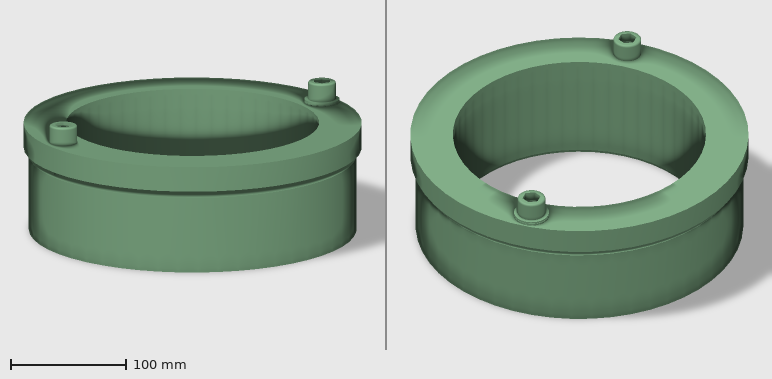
import cadquery as cq
import math

base_diameter = 285.0
base_height = 67.3
lip_thickness = 3.0
lip_bore_diameter = 222.9

flange_diameter = 294.0
flange_thickness = 22.0
flange_gap = 6.8
neck_diameter = 232.0
bore_diameter = 220.0

bolt_circle_radius = 130.0
shank_diameter = 16.0
shank_length = 60.0
head_diameter = 24.0
head_height = 16.0
head_edge_radius = 1.8
socket_width = 13.8
socket_depth = 8.0
socket_cone_depth = 4.0
clearance_hole_diameter = 17.5

washer_outer_diameter = 30.5
washer_inner_diameter = 17.0
washer_thickness = 3.5
washer_groove_level = 1.8
washer_groove_size = 0.3
washer_notch_count = 16
washer_notch_length = 3.2
washer_notch_width = 1.8
washer_notch_depth = 1.2

flange_bottom = base_height + flange_gap
flange_top = flange_bottom + flange_thickness
front_y = -bolt_circle_radius
rear_y = bolt_circle_radius
screw_points = [(0, front_y), (0, rear_y)]

screw_hole_depth = shank_length - flange_thickness - flange_gap


def disc(diameter, bottom, top):
    """Solid cylinder on the main axis between two levels."""
    return cq.Workplane("XY").workplane(offset=bottom).circle(diameter / 2).extrude(top - bottom)


def screw_holes(diameter, bottom, top):
    """Pair of cylinders on the bolt circle, used as cutters."""
    return (
        cq.Workplane("XY")
        .workplane(offset=bottom)
        .pushPoints(screw_points)
        .circle(diameter / 2)
        .extrude(top - bottom)
    )


def make_base_ring():
    ring = disc(base_diameter, 0, base_height)
    ring = ring.cut(disc(lip_bore_diameter, 0, base_height))
    ring = ring.cut(disc(neck_diameter, lip_thickness, base_height))
    return ring.cut(screw_holes(shank_diameter, base_height - screw_hole_depth, base_height))


def make_gland():
    flange = disc(flange_diameter, flange_bottom, flange_top)
    neck = disc(neck_diameter, lip_thickness, flange_bottom)
    gland = flange.union(neck)
    gland = gland.cut(disc(bore_diameter, lip_thickness, flange_top))
    return gland.cut(screw_holes(clearance_hole_diameter, flange_bottom, flange_top))


def make_washer():
    """Flat ring with a groove around its rim and radial notches under its outer edge."""
    outer_radius = washer_outer_diameter / 2
    ring = (
        cq.Workplane("XY")
        .circle(outer_radius)
        .circle(washer_inner_diameter / 2)
        .extrude(washer_thickness)
    )
    groove = (
        cq.Workplane("XY")
        .workplane(offset=washer_groove_level)
        .circle(outer_radius)
        .circle(outer_radius - washer_groove_size)
        .extrude(washer_groove_size)
    )
    notches = (
        cq.Workplane("XY")
        .polarArray(outer_radius, 0, 360, washer_notch_count)
        .rect(2 * washer_notch_length, washer_notch_width)
        .extrude(washer_notch_depth)
    )
    return ring.cut(groove).cut(notches).translate((0, rear_y, flange_top))


def make_socket():
    """Hexagonal key socket with a conical bottom, cut down from the head's top."""
    socket_bottom = head_height - socket_depth
    corner_diameter = socket_width / math.cos(math.pi / 6)
    hexagon = (
        cq.Workplane("XY")
        .workplane(offset=socket_bottom)
        .transformed(rotate=(0, 0, 90))
        .polygon(6, corner_diameter)
        .extrude(socket_depth)
    )
    cone = cq.Solid.makeCone(
        socket_width / 2,
        0,
        socket_cone_depth,
        pnt=cq.Vector(0, 0, socket_bottom),
        dir=cq.Vector(0, 0, -1),
    )
    return hexagon.union(cq.Workplane(cone))


def make_screw(y, seat_level):
    """Cap screw whose head rests on seat_level."""
    head = cq.Workplane("XY").circle(head_diameter / 2).extrude(head_height)
    head = head.faces(">Z").edges().fillet(head_edge_radius)
    shank = cq.Workplane("XY").circle(shank_diameter / 2).extrude(-shank_length)
    screw = head.union(shank).cut(make_socket())
    return screw.translate((0, y, seat_level))


base_ring = make_base_ring()
gland = make_gland()
washer = make_washer()

screw_seats = [(front_y, flange_top), (rear_y, flange_top + washer_thickness)]
screws = [make_screw(y, seat_level) for y, seat_level in screw_seats]

result = cq.Compound.makeCompound(
    [base_ring.val(), gland.val(), washer.val(), *[screw.val() for screw in screws]]
)